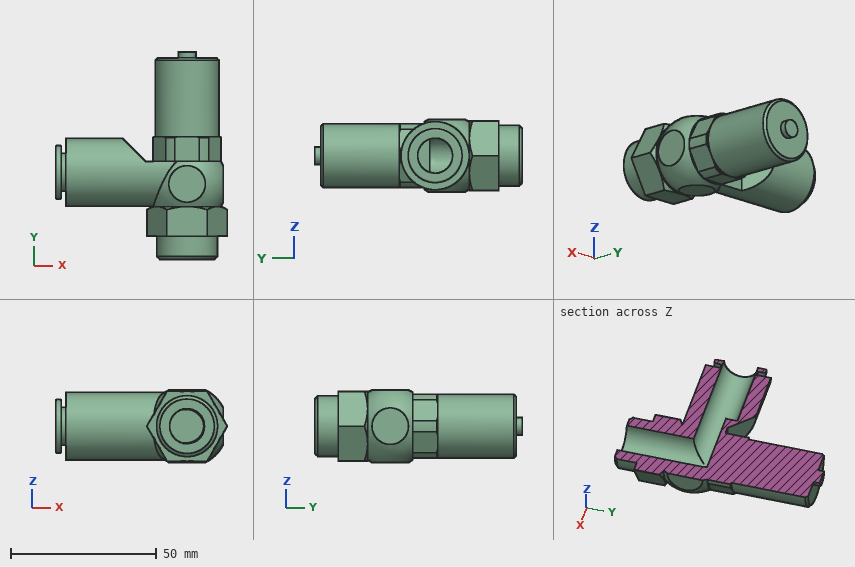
import cadquery as cq
import math


stud_radius = 10.5
stud_length = 8.1
stud_chamfer = 1.15

nut_flats = 24.0
nut_length = 10.15
nut_bevel_angle = 30

body_start = stud_length + nut_length
body_length = 15.6
body_end = body_start + body_length
body_center = body_start + body_length / 2
body_half_width = 12.5
flat_radius = 6.3
ball_radius = math.hypot(body_half_width, flat_radius)

collar_flats = 22.0
collar_radius = 11.8
collar_length = 8.5
collar_chamfer = 0.35
collar_end = body_end + collar_length

cap_radius = collar_flats / 2
cap_length = 27.1
cap_chamfer = 0.85
cap_end = collar_end + cap_length
pin_radius = 3.1
pin_end = 71.5

socket_radius = 11.7
socket_clearance = 0.1
socket_axis = body_start + socket_clearance + socket_radius
socket_length = 41.75
relief_start = -14.2
neck_radius = 6.6
neck_length = 1.5
flange_radius = 9.3
flange_thickness = 2.0
flange_rounding = 0.65

bore_radius = 6.0
bore_ceiling = 31.95
socket_bore_wall = -18.6


def y_cylinder(radius, start, end):
    """Cylinder about the stud axis."""
    plane = cq.Workplane("XZ", origin=(0, start, 0))
    return plane.circle(radius).extrude(start - end)


def y_hexagon(flats, start, end):
    """Hexagonal prism with corners on X and flats facing Z."""
    corners = flats / math.cos(math.radians(30))
    plane = cq.Workplane("XZ", origin=(0, start, 0))
    return plane.polygon(6, corners).extrude(start - end)


def x_cylinder(radius, start, length):
    """Cylinder about the socket axis."""
    plane = cq.Workplane("YZ", origin=(start, socket_axis, 0))
    return plane.circle(radius).extrude(length)


def make_nut():
    """Main hexagon, its corners bevelled next to the body."""
    corner_radius = nut_flats / 2 / math.cos(math.radians(30))
    face_radius = nut_flats / 2
    bevel = (corner_radius - face_radius) * math.tan(math.radians(nut_bevel_angle))
    envelope = (
        cq.Workplane("XY")
        .moveTo(0, stud_length)
        .lineTo(corner_radius, stud_length)
        .lineTo(corner_radius, body_start - bevel)
        .lineTo(face_radius, body_start)
        .lineTo(0, body_start)
        .close()
        .revolve(360, (0, 0), (0, 1))
    )
    return y_hexagon(nut_flats, stud_length, body_start).intersect(envelope)


def make_body():
    """Ball trimmed by a block."""
    width = 2 * body_half_width
    block = cq.Workplane("XY").box(width, body_length, width)
    return cq.Workplane("XY").sphere(ball_radius).intersect(block).translate((0, body_center, 0))


def make_collar():
    """Small hexagon trimmed by a cylinder chamfered next to the cap."""
    envelope = y_cylinder(collar_radius, body_end, collar_end).faces(">Y").chamfer(collar_chamfer)
    return y_hexagon(collar_flats, body_end, collar_end).intersect(envelope)


def make_socket():
    """Hose socket, relieved beside the collar, with its neck and flange."""
    socket_top = socket_axis + socket_radius
    relief_depth = socket_top - body_end
    relief = (
        cq.Workplane("XY")
        .moveTo(0, body_end)
        .lineTo(relief_start, body_end)
        .lineTo(relief_start - relief_depth, socket_top)
        .lineTo(0, socket_top)
        .close()
        .extrude(socket_radius, both=True)
    )
    barrel = x_cylinder(socket_radius, -socket_length, socket_length).cut(relief)
    neck = x_cylinder(neck_radius, -socket_length, -neck_length)
    flange = x_cylinder(flange_radius, -socket_length - neck_length, -flange_thickness)
    flange = flange.edges().fillet(flange_rounding)
    return barrel.union(neck).union(flange)


def make_passages():
    """Bores joined by a ball-shaped elbow under a flat ceiling, with the socket bore full beyond it."""
    socket_end = -socket_length - neck_length - flange_thickness
    elbow = cq.Workplane("XY", origin=(0, socket_axis, 0)).sphere(bore_radius)
    stud_bore = y_cylinder(bore_radius, 0, socket_axis)
    inner_socket_bore = x_cylinder(bore_radius, socket_bore_wall, -socket_bore_wall)
    room = y_cylinder(socket_length, 0, bore_ceiling)
    inner = stud_bore.union(elbow).union(inner_socket_bore).intersect(room)
    return inner.union(x_cylinder(bore_radius, socket_end, socket_bore_wall - socket_end))


stud = y_cylinder(stud_radius, 0, stud_length).faces("<Y").chamfer(stud_chamfer)
cap = y_cylinder(cap_radius, collar_end, cap_end).faces(">Y").chamfer(cap_chamfer)
pin = y_cylinder(pin_radius, cap_end, pin_end)

result = make_body().union(make_socket())
for section in (make_nut(), stud, make_collar(), cap, pin):
    result = result.union(section)

result = result.cut(make_passages())